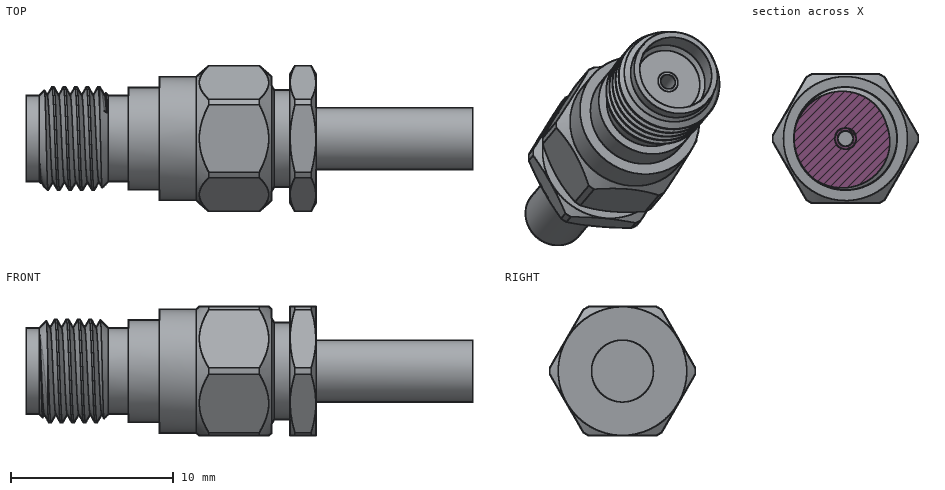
import cadquery as cq
import math


THREAD_START = 0.8
THREAD_END = 5.05
SHOULDER_START = 6.28
COLLAR_START = 8.18
BODY_HEX_START = 10.45
BODY_HEX_END = 15.08
NECK_START = 15.23
NUT_START = 16.2
NUT_END = 17.8
TOTAL_LENGTH = 27.43

BARREL_DIA = 5.3
SHOULDER_DIA = 6.3
COLLAR_DIA = 7.62
LIP_DIA = 6.5
NECK_DIA = 5.97
TUBE_DIA = 3.81

THREAD_DIA = 6.35
THREAD_PITCH = 25.4 / 36
THREAD_ANGLE = 60
THREAD_ROOT_CLEARANCE = 0.02
GROOVE_OVERCUT = 0.05
GROOVE_START = 0.833
GROOVE_START_ANGLE = 216
GROOVE_TURNS = 5.8

HEX_ACROSS_FLATS = 7.94
HEX_CORNER_DIA = 8.95
BODY_HEX_FACE_DIA = COLLAR_DIA
BODY_HEX_CHAMFER = 0.76
NUT_FACE_DIA = 7.9
NUT_CHAMFER = 0.3

BORE_DIA = 4.58
BORE_DEPTH = 1.5
SOCKET_FLOOR_DIA = 4.06
SOCKET_FLOOR = BORE_DEPTH + (BORE_DIA - SOCKET_FLOOR_DIA) / 2
CONTACT_DIA = 1.27
CONTACT_BORE_DIA = 0.93
CONTACT_BORE_DEPTH = 2.5
CONTACT_END = SHOULDER_START


def cylinder(start, end, diameter):
    """Round bar about the X axis between two stations."""
    return cq.Workplane("YZ", origin=(start, 0, 0)).circle(diameter / 2).extrude(end - start)


def cone(start, end, start_dia, end_dia):
    """Frustum about the X axis between two stations."""
    outline = [(start, 0), (start, start_dia / 2), (end, end_dia / 2), (end, 0)]
    return cq.Workplane("XY").polyline(outline).close().revolve(360, (0, 0, 0), (1, 0, 0))


def chamfered_bar(start, end, face_dia, full_dia, chamfer):
    """Round bar that tapers from full_dia to face_dia at both ends."""
    outline = [
        (start, 0),
        (start, face_dia / 2),
        (start + chamfer, full_dia / 2),
        (end - chamfer, full_dia / 2),
        (end, face_dia / 2),
        (end, 0),
    ]
    return cq.Workplane("XY").polyline(outline).close().revolve(360, (0, 0, 0), (1, 0, 0))


def turned_hexagon(start, end, face_dia, chamfer):
    """Hexagonal prism with its corners and end faces turned down."""
    across_corners = HEX_ACROSS_FLATS / math.cos(math.radians(30))
    prism = (
        cq.Workplane("YZ", origin=(start, 0, 0))
        .polygon(6, across_corners)
        .extrude(end - start)
    )
    return prism.intersect(chamfered_bar(start, end, face_dia, HEX_CORNER_DIA, chamfer))


def thread_groove():
    """Helical V groove, made about Z from the origin and then turned onto X."""
    root_radius = BARREL_DIA / 2 + THREAD_ROOT_CLEARANCE
    outer_radius = THREAD_DIA / 2 + GROOVE_OVERCUT
    half_width = (outer_radius - root_radius) * math.tan(math.radians(THREAD_ANGLE / 2))
    length = GROOVE_TURNS * THREAD_PITCH

    def helix(radius, offset):
        return cq.Wire.makeHelix(THREAD_PITCH, length, radius).translate(cq.Vector(0, 0, offset))

    edges = [
        helix(root_radius, 0),
        helix(outer_radius, half_width),
        helix(outer_radius, -half_width),
    ]
    faces = []
    for index, edge in enumerate(edges):
        faces.extend(cq.Face.makeRuledSurface(edges[index - 1], edge).Faces())
    start_corners = [edge.startPoint() for edge in edges]
    end_corners = [edge.endPoint() for edge in edges]
    for corners in (start_corners, end_corners):
        faces.append(cq.Face.makeFromWires(cq.Wire.makePolygon(corners, close=True)))

    groove = cq.Workplane(obj=cq.Solid.makeSolid(cq.Shell.makeShell(faces)))
    groove = groove.rotate((0, 0, 0), (0, 1, 0), 90)
    groove = groove.rotate((0, 0, 0), (1, 0, 0), GROOVE_START_ANGLE)
    return groove.translate((GROOVE_START, 0, 0))


def thread_blank():
    """Crest of the thread, with 45 degree chamfers down to the barrel at both ends."""
    chamfer = (THREAD_DIA - BARREL_DIA) / 2
    return chamfered_bar(THREAD_START, THREAD_END, BARREL_DIA, THREAD_DIA, chamfer)


def make_connector():
    """Turned connector with its thread, hexagons, cable tube and mating socket."""
    connector = thread_blank().union(cylinder(0, SHOULDER_START, BARREL_DIA))
    connector = connector.union(cylinder(SHOULDER_START, COLLAR_START, SHOULDER_DIA))
    connector = connector.union(cylinder(COLLAR_START, BODY_HEX_START, COLLAR_DIA))
    connector = connector.union(
        turned_hexagon(BODY_HEX_START, BODY_HEX_END, BODY_HEX_FACE_DIA, BODY_HEX_CHAMFER)
    )
    connector = connector.union(cone(BODY_HEX_END, NECK_START, LIP_DIA, NECK_DIA))
    connector = connector.union(cylinder(NECK_START, NUT_START, NECK_DIA))
    connector = connector.union(turned_hexagon(NUT_START, NUT_END, NUT_FACE_DIA, NUT_CHAMFER))
    connector = connector.union(cylinder(NUT_END, TOTAL_LENGTH, TUBE_DIA))
    connector = connector.cut(thread_groove())

    connector = connector.cut(cylinder(0, BORE_DEPTH, BORE_DIA))
    connector = connector.cut(cone(BORE_DEPTH, SOCKET_FLOOR, BORE_DIA, SOCKET_FLOOR_DIA))
    return connector.cut(cylinder(SOCKET_FLOOR, CONTACT_END, CONTACT_DIA))


def make_centre_contact():
    """Contact pin, flush with the socket floor and bored to take a mating pin."""
    pin = cylinder(SOCKET_FLOOR, CONTACT_END, CONTACT_DIA)
    return pin.cut(cylinder(SOCKET_FLOOR, SOCKET_FLOOR + CONTACT_BORE_DEPTH, CONTACT_BORE_DIA))


connector = make_connector()
centre_contact = make_centre_contact()

result = cq.Compound.makeCompound([connector.val(), centre_contact.val()])